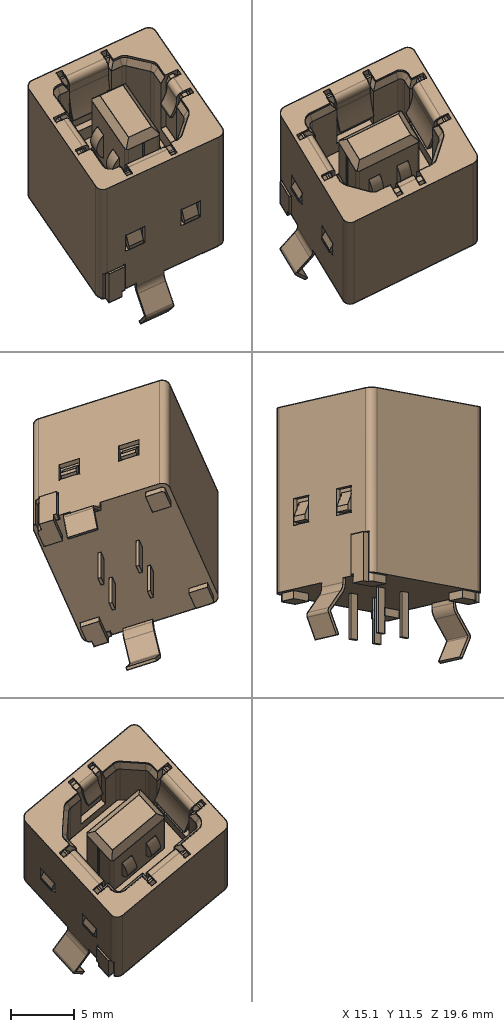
import cadquery as cq
import math


body_width = 12.0
body_depth = 11.47
body_height = 14.93
body_corner_radius = 0.65
half_width = body_width / 2
half_depth = body_depth / 2

sheet_thickness = 0.25
insulator_inset = 0.37
insulator_corner_radius = body_corner_radius - insulator_inset

opening_width = 9.21
opening_front = -4.28
opening_back = 4.26
opening_chamfer = 1.89
opening_front_radius = 0.75
opening_chamfer_radius = 0.79
lead_in_inset = 0.37
lead_in_height = 0.63
opening_depth = 8.65

side_finger_half_width = 1.77
side_finger_shift = -0.82
back_finger_half_width = 0.77
front_finger_half_width = 1.51
finger_gap = 0.51
finger_edge_margin = 0.31
finger_slot_length = 0.65
finger_bend_radius = 0.45
finger_drop_reach = 0.59
finger_tip_reach = 1.22
short_flare_radius = 4.22
short_flare_depth = 1.79
short_tip_depth = 2.87
long_flare_radius = 8.45
long_flare_depth = 3.15
long_tip_depth = 4.71

bay_depth = 7.07
bay_inset = 0.86
back_bay_inset = 1.15
back_bay_end_taper = 0.2
slot_relief_length = 0.4
slot_relief_depth = 0.59

tongue_width = 5.68
tongue_depth = 3.15
tongue_corner_radius = 0.24
tongue_top = body_height - 0.35
tongue_bevel = 0.53
tongue_bevel_height = 0.8
tongue_rib_width = 0.15
tongue_rib_height = 0.08

contact_offset = 1.25
contact_width = 0.98
contact_bulge = 0.63
contact_length = 3.15
contact_top = 11.4
pin_width = 0.69
pin_row_offset = 1.61
pin_length = 3.67

latch_offset = 2.51
window_width = 1.73
window_bottom = 5.15
window_height = 2.16
latch_width = 1.3
latch_bottom = 5.36
latch_lip_height = 0.45
latch_height = 1.63
side_protrusion = 0.15
side_face = half_width + side_protrusion

foot_size = 1.57
foot_height = 0.65

tab_slot_start = -3.42
tab_slot_end = -5.38
tab_slot_top = 3.32
tab_clearance = 0.1
tab_end = -4.99
tab_bottom = 0.08

leg_width = 2.51
leg_center = -1.15
leg_knee_reach = 7.48
leg_knee_drop = 2.8
leg_bend_drop = 0.8
leg_tip_reach = 6.55
leg_tip_drop = 4.65
leg_bend_radius = 1.25
leg_knee_radius = 0.24


def box(x_range, y_range, z_range):
    """Axis-aligned box from its limits along X, Y and Z."""
    corner = (min(x_range), min(y_range), min(z_range))
    sizes = [max(limits) - min(limits) for limits in (x_range, y_range, z_range)]
    return cq.Workplane("XY").box(*sizes, centered=False).translate(corner)


def bent_strip(points, bend_radii, width):
    """Sheet strip whose centreline follows (x, z) points, with rounded bends."""
    path = cq.Workplane("XZ").moveTo(*points[0])
    for before, bend, after, radius in zip(points, points[1:], points[2:], bend_radii):
        angle_in = math.atan2(bend[1] - before[1], bend[0] - before[0])
        angle_out = math.atan2(after[1] - bend[1], after[0] - bend[0])
        tangent_length = abs(radius * math.tan((angle_out - angle_in) / 2))
        path = path.lineTo(
            bend[0] - tangent_length * math.cos(angle_in),
            bend[1] - tangent_length * math.sin(angle_in),
        )
        arc_end = (
            bend[0] + tangent_length * math.cos(angle_out),
            bend[1] + tangent_length * math.sin(angle_out),
        )
        path = path.tangentArcPoint(arc_end, relative=False)
    path = path.lineTo(*points[-1])

    start_x, start_z = points[0]
    direction = (points[1][0] - start_x, 0, points[1][1] - start_z)
    section = cq.Plane(origin=(start_x, 0, start_z), xDir=(0, 1, 0), normal=direction)
    return cq.Workplane(section).rect(width, sheet_thickness).sweep(path)


def funnel(outline, inner_outline, depth):
    """Cut for an opening: straight through the sheet, tapered, then straight to the floor."""
    lead_in_top = body_height - sheet_thickness
    lead_in_bottom = lead_in_top - lead_in_height
    floor = body_height - depth

    def placed(wire, z):
        return wire.translate(cq.Vector(0, 0, z))

    throat = cq.Solid.extrudeLinear(
        placed(outline, lead_in_top), [], cq.Vector(0, 0, sheet_thickness)
    )
    lead_in = cq.Solid.makeLoft(
        [placed(inner_outline, lead_in_bottom), placed(outline, lead_in_top)], True
    )
    well = cq.Solid.extrudeLinear(
        placed(inner_outline, floor), [], cq.Vector(0, 0, lead_in_bottom - floor)
    )
    return cq.Workplane(throat).union(cq.Workplane(lead_in)).union(cq.Workplane(well))


def rectangle_wire(x_min, x_max, half_y):
    corners = [(x_min, -half_y), (x_max, -half_y), (x_max, half_y), (x_min, half_y)]
    return cq.Workplane("XY").polyline(corners).close().val()


def opening_outline():
    """Plug outline: square front corners rounded, back corners cut off at 45 degrees."""
    half = opening_width / 2
    corners = [
        (-half, opening_front),
        (half, opening_front),
        (half, opening_back - opening_chamfer),
        (half - opening_chamfer, opening_back),
        (-half + opening_chamfer, opening_back),
        (-half, opening_back - opening_chamfer),
    ]
    wire = cq.Workplane("XY").polyline(corners).close().val()
    front = [v for v in wire.Vertices() if v.Y < 0]
    wire = wire.fillet2D(opening_front_radius, front)
    back = [v for v in wire.Vertices() if v.Y > 0]
    return wire.fillet2D(opening_chamfer_radius, back)


def finger_bay(edge, half_finger, inset, end_taper, side_taper):
    """Opening behind a finger on the +X side, where the block edge is at x = edge."""
    half_bay = half_finger + finger_gap
    bay_end = edge - inset
    return funnel(
        rectangle_wire(0, bay_end, half_bay),
        rectangle_wire(0, bay_end - end_taper, half_bay - side_taper),
        bay_depth,
    )


def finger_slots(edge, half_finger):
    """Sheet cut around a finger on the +X side, with a floor falling away toward the edge."""
    slot_end = edge - finger_edge_margin
    floor = body_height - sheet_thickness
    half_bay = half_finger + finger_gap
    return (
        cq.Workplane("XZ")
        .polyline([
            (0, body_height),
            (slot_end, body_height),
            (slot_end, floor - slot_relief_depth),
            (slot_end - slot_relief_length, floor),
            (0, floor),
        ])
        .close()
        .extrude(half_bay, both=True)
    )


def finger(edge, half_finger, flare_radius, flare_depth, tip_depth):
    """Spring finger on the +X side: bends down from the top sheet, then flares inward."""
    slot_end = edge - finger_edge_margin
    bend_start = slot_end - finger_slot_length
    half_sheet = sheet_thickness / 2
    top = body_height - half_sheet
    drop_x = bend_start - finger_drop_reach + half_sheet
    points = [
        (edge - finger_edge_margin / 2, top),
        (drop_x, top),
        (drop_x, body_height - flare_depth),
        (bend_start - finger_tip_reach + half_sheet, body_height - tip_depth),
    ]
    return bent_strip(points, [finger_bend_radius, flare_radius], 2 * half_finger)


def placed_finger(shape, turn, shift):
    """Turn a shape made for the +X side about Z, then slide it along Y."""
    return shape.rotate((0, 0, 0), (0, 0, 1), turn).translate((0, shift, 0))


def tongue():
    floor = body_height - opening_depth
    bevel_start = tongue_top - tongue_bevel_height
    post = (
        cq.Workplane("XY")
        .box(tongue_width, tongue_depth, tongue_top - floor, centered=(True, True, False))
        .edges("|Z")
        .fillet(tongue_corner_radius)
        .translate((0, 0, floor))
    )
    bevel = (
        cq.Workplane("XY", origin=(0, 0, bevel_start))
        .rect(tongue_width, tongue_depth)
        .workplane(offset=tongue_bevel_height)
        .rect(tongue_width - 2 * tongue_bevel, tongue_depth - 2 * tongue_bevel)
        .loft(ruled=True)
    )
    straight = box((-half_width, half_width), (-half_depth, half_depth), (floor, bevel_start))
    rib_reach = tongue_width / 2 + tongue_rib_height
    rib_half = tongue_rib_width / 2
    ribs = box((-rib_reach, rib_reach), (-rib_half, rib_half), (floor, bevel_start))
    return post.intersect(bevel.union(straight)).union(ribs)


def contact():
    """Bowed contact on the +Y face of the tongue, centred on X = 0."""
    face = tongue_depth / 2
    middle = contact_top - contact_length / 2
    return (
        cq.Workplane("YZ")
        .moveTo(face, contact_top - contact_length)
        .threePointArc((face + contact_bulge, middle), (face, contact_top))
        .lineTo(face - sheet_thickness, contact_top)
        .lineTo(face - sheet_thickness, contact_top - contact_length)
        .close()
        .extrude(contact_width / 2, both=True)
    )


def pin():
    overlap = 0.2
    half_pin = pin_width / 2
    half_sheet = sheet_thickness / 2
    row = (pin_row_offset - half_sheet, pin_row_offset + half_sheet)
    return box((-half_pin, half_pin), row, (-pin_length, overlap))


def latch():
    """Wedge on the +X side at Y = 0 that ramps out to a lip at its lower end."""
    inner = half_width - insulator_inset
    return (
        cq.Workplane("XZ")
        .polyline([
            (inner, latch_bottom),
            (side_face, latch_bottom),
            (side_face, latch_bottom + latch_lip_height),
            (inner, latch_bottom + latch_height),
        ])
        .close()
        .extrude(latch_width / 2, both=True)
    )


def foot(front):
    """Foot under the +X corner, at the -Y end if front, with its outer corner rounded."""
    outer_x = half_width - insulator_inset
    outer_y = half_depth - insulator_inset
    block = box((outer_x - foot_size, outer_x), (outer_y - foot_size, outer_y), (-foot_height, 0))
    block = block.edges("|Z and >X and >Y").fillet(insulator_corner_radius)
    return block.mirror("XZ") if front else block


def side_slot():
    """Slot in the shield on the +X side that exposes the insulator corner."""
    inner = half_width - insulator_inset
    slot = box((inner - foot_size, side_face), (tab_slot_start, tab_slot_end), (0, tab_slot_top))
    insulator = (
        cq.Workplane("XY")
        .rect(2 * inner, body_depth - 2 * insulator_inset)
        .extrude(tab_slot_top)
        .edges("|Z")
        .fillet(insulator_corner_radius)
    )
    return slot.cut(insulator)


def side_tab():
    """Tab standing in the side slot, with a narrower part reaching down beside the foot."""
    inner = half_width - insulator_inset - sheet_thickness
    foot_start = -(half_depth - insulator_inset - foot_size)
    upper = box(
        (inner, side_face),
        (tab_slot_start - tab_clearance, tab_end),
        (tab_bottom, tab_slot_top),
    )
    lower = box((inner, side_face), (foot_start, tab_end), (-foot_height, tab_bottom))
    return upper.union(lower)


def leg():
    """Retaining leg on the +X side, bent outward to a knee and back in."""
    wall = half_width - sheet_thickness / 2
    overlap = 0.2
    points = [
        (wall, overlap),
        (wall, -leg_bend_drop),
        (leg_knee_reach, -leg_knee_drop),
        (leg_tip_reach, -leg_tip_drop),
    ]
    strip = bent_strip(points, [leg_bend_radius, leg_knee_radius], leg_width)
    return strip.translate((0, leg_center, 0))


def on_both_sides(shape):
    return shape.union(shape.mirror("YZ"))


result = (
    cq.Workplane("XY")
    .box(body_width, body_depth, body_height, centered=(True, True, False))
    .edges("|Z")
    .fillet(body_corner_radius)
)

outline = opening_outline()
inner_outline = outline.offset2D(-lead_in_inset)[0]
result = result.cut(funnel(outline, inner_outline, opening_depth))
side = (half_width, side_finger_half_width)
back = (half_depth, back_finger_half_width)
front = (half_depth, front_finger_half_width)
tapered_bay = (bay_inset, lead_in_inset, lead_in_inset)
straight_sided_bay = (back_bay_inset, back_bay_end_taper, 0)
long_reach = (long_flare_radius, long_flare_depth, long_tip_depth)
short_reach = (short_flare_radius, short_flare_depth, short_tip_depth)
fingers = [
    (side, tapered_bay, long_reach, 0, side_finger_shift),
    (back, straight_sided_bay, short_reach, 90, 0),
    (side, tapered_bay, long_reach, 180, side_finger_shift),
    (front, tapered_bay, long_reach, 270, 0),
]
for size, bay, _, turn, shift in fingers:
    result = result.cut(placed_finger(finger_bay(*size, *bay), turn, shift))
    result = result.cut(placed_finger(finger_slots(*size), turn, shift))
for size, _, reach, turn, shift in fingers:
    result = result.union(placed_finger(finger(*size, *reach), turn, shift))

result = result.union(tongue())
for x in (-contact_offset, contact_offset):
    for part in (contact(), pin()):
        placed_part = part.translate((x, 0, 0))
        result = result.union(placed_part).union(placed_part.mirror("XZ"))

for y in (-latch_offset, latch_offset):
    window = box(
        (half_width - insulator_inset, half_width),
        (y - window_width / 2, y + window_width / 2),
        (window_bottom, window_bottom + window_height),
    )
    result = result.cut(on_both_sides(window))
    result = result.union(on_both_sides(latch().translate((0, y, 0))))

result = result.cut(on_both_sides(side_slot()))
for piece in (foot(front=True), foot(front=False), side_tab(), leg()):
    result = result.union(on_both_sides(piece))